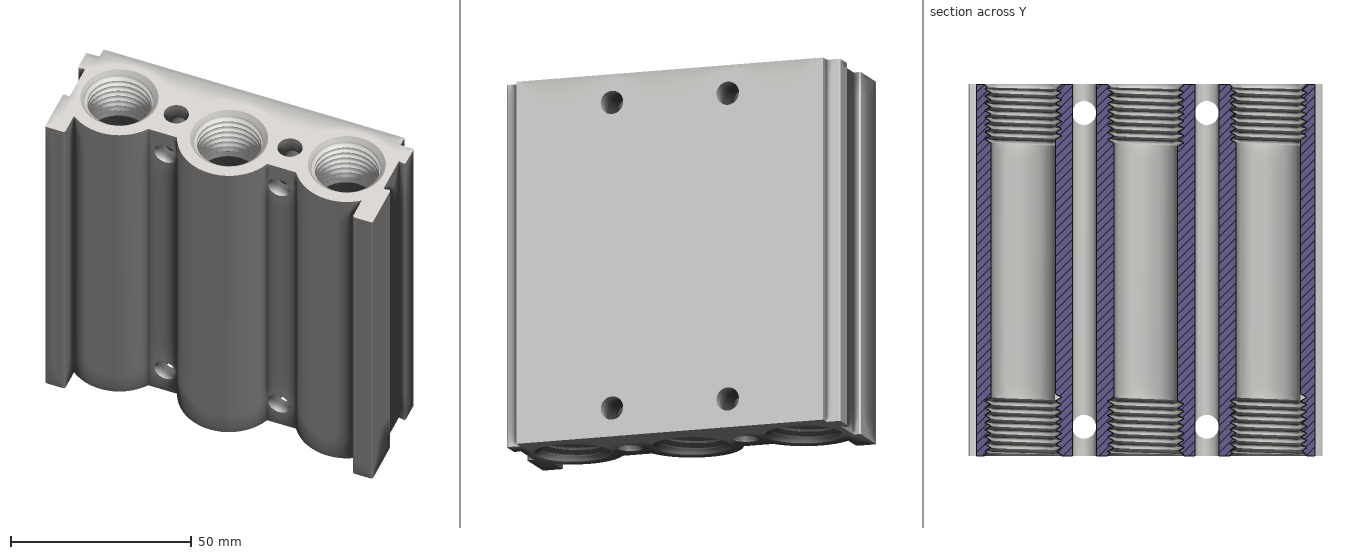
import cadquery as cq
import math

length = 103.0
width = 98.0
depth = 33.5
half_width = width / 2

back_half_width = 45.0
back_step_depth = 3.0
back_step_y = depth - back_step_depth
slot_depth = 2.1
slot_floor_x = half_width - slot_depth
slot_top_y = 24.4
slot_bottom_y = 13.3
slot_undercut = 0.2
foot_width = 6.0
edge_chamfer = 0.4
back_edge_chamfer = 0.2
web_front_y = 9.9

boss_radius = 14.4
side_bore_x = 34.0
side_bore_y = 18.0
middle_bore_y = 15.0
bore_positions = [(-side_bore_x, side_bore_y), (0, middle_bore_y), (side_bore_x, side_bore_y)]

bore_radius = 9.0
mouth_radius = 10.8
mouth_depth = mouth_radius - bore_radius
full_turns = 8
full_turns_length = 16.0
thread_pitch = full_turns_length / full_turns
run_out_turns = 1.3
helix_length = (full_turns + run_out_turns) * thread_pitch
flank_angle = 60
crest_width = 0.05
groove_half_width = (thread_pitch - crest_width) / 2
groove_depth = groove_half_width * math.tan(math.radians(flank_angle))
groove_overlap = 0.5
groove_base_radius = bore_radius - groove_overlap
thread_depth = 16.3

hole_diameter = 7.0
hole_x = side_bore_x / 2
hole_y = side_bore_y
cross_hole_diameter = 6.6
cross_hole_inset = 8.0


def make_half_outline():
    """Right half of the extruded section without the bosses."""
    foot_inner_x = half_width - foot_width
    return [
        (0, depth),
        (back_half_width, depth),
        (back_half_width, back_step_y),
        (half_width - back_edge_chamfer, back_step_y),
        (half_width, back_step_y - back_edge_chamfer),
        (half_width, slot_top_y - slot_undercut + edge_chamfer),
        (half_width - edge_chamfer, slot_top_y - slot_undercut),
        (slot_floor_x, slot_top_y + slot_undercut),
        (slot_floor_x, slot_bottom_y - slot_undercut),
        (half_width - edge_chamfer, slot_bottom_y + slot_undercut),
        (half_width, slot_bottom_y + slot_undercut - edge_chamfer),
        (half_width, edge_chamfer),
        (half_width - edge_chamfer, 0),
        (foot_inner_x + edge_chamfer, 0),
        (foot_inner_x, edge_chamfer),
        (foot_inner_x, web_front_y),
        (0, web_front_y),
    ]


def make_body():
    half = cq.Workplane("XY").polyline(make_half_outline()).close().extrude(length)
    body = half.union(half.mirror("YZ"))
    bosses = cq.Workplane("XY").pushPoints(bore_positions).circle(boss_radius).extrude(length)
    boss_limit = cq.Workplane("XY").rect(2 * (half_width - foot_width), 2 * depth).extrude(length)
    return body.union(bosses.intersect(boss_limit))


def make_bore_cutter():
    """Plain through bore with a conical mouth at each end, revolved about Z."""
    profile = [
        (0, 0),
        (mouth_radius, 0),
        (bore_radius, mouth_depth),
        (bore_radius, length - mouth_depth),
        (mouth_radius, length),
        (0, length),
    ]
    return cq.Workplane("XZ").polyline(profile).close().revolve(360, (0, 0, 0), (0, 1, 0))


def make_thread_groove():
    """Helical V groove, open at the top end."""
    helix = cq.Wire.makeHelix(thread_pitch, helix_length, bore_radius)
    profile = [
        (groove_base_radius, -groove_half_width),
        (bore_radius, -groove_half_width),
        (bore_radius + groove_depth, 0),
        (bore_radius, groove_half_width),
        (groove_base_radius, groove_half_width),
    ]
    groove = cq.Workplane("XZ").polyline(profile).close().sweep(cq.Workplane(helix), isFrenet=True)
    return groove.translate((0, 0, length - thread_depth))


def make_cross_holes():
    points = [(x, z) for x in (-hole_x, hole_x) for z in (cross_hole_inset, length - cross_hole_inset)]
    return cq.Workplane("XZ").pushPoints(points).circle(cross_hole_diameter / 2).extrude(-depth)


result = make_body()
bore_cutter = make_bore_cutter()
top_groove = make_thread_groove()
bottom_groove = top_groove.rotate((0, 0, length / 2), (1, 0, length / 2), 180)
for bore_x, bore_y in bore_positions:
    for cutter in (bore_cutter, top_groove, bottom_groove):
        result = result.cut(cutter.translate((bore_x, bore_y, 0)))
long_holes = cq.Workplane("XY").pushPoints([(-hole_x, hole_y), (hole_x, hole_y)])
result = result.cut(long_holes.circle(hole_diameter / 2).extrude(length))
result = result.cut(make_cross_holes())